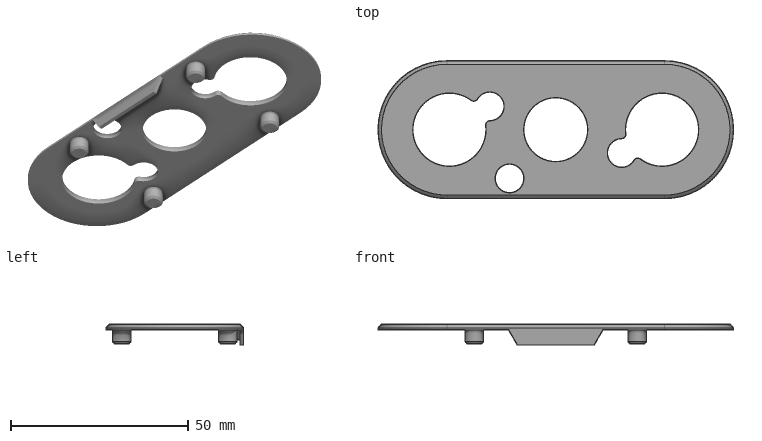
import cadquery as cq
import math

length = 100.4
width = 39.0
thickness = 1.6
edge_chamfer = 1.0

center_hole_diameter = 18.0
side_hole_diameter = 8.0
side_hole_x = -13.1
side_hole_y = -13.8
keyhole_diameter = 20.6
keyhole_x = 30.0
lobe_diameter = 8.0
lobe_distance = 13.2
lobe_angle = 30.0
neck_radius = 1.25

pin_diameter = 5.3
pin_x = 23.0
pin_y = 15.0
pin_length = 3.9
pin_chamfer = 0.6

total_height = 5.9
tab_height = total_height - thickness
tab_thickness = 1.1
tab_bottom_width = 21.7
tab_slope = 30.0

rib_length = 16.1
rib_depth = 0.9
rib_height = 2.8


def make_plate():
    plate = cq.Workplane("XY").slot2D(length, width).extrude(thickness)
    return plate.faces(">Z").edges().chamfer(edge_chamfer)


def cylinder(x, y, diameter):
    """Cutter through the plate thickness."""
    return cq.Workplane("XY").center(x, y).circle(diameter / 2).extrude(thickness)


def make_keyhole():
    """Left opening: a large circle and a small lobe joined by rounded necks."""
    angle = math.radians(lobe_angle)
    lobe_x = -keyhole_x + lobe_distance * math.cos(angle)
    lobe_y = lobe_distance * math.sin(angle)
    main = cylinder(-keyhole_x, 0, keyhole_diameter)
    opening = main.union(cylinder(lobe_x, lobe_y, lobe_diameter))

    main_radius = keyhole_diameter / 2
    lobe_radius = lobe_diameter / 2
    along = (lobe_distance**2 + main_radius**2 - lobe_radius**2) / (2 * lobe_distance)
    corner_angle = math.acos(along / main_radius)
    for turn in (angle - corner_angle, angle + corner_angle):
        corner = (
            -keyhole_x + main_radius * math.cos(turn),
            main_radius * math.sin(turn),
            thickness / 2,
        )
        neck_edge = cq.selectors.NearestToPointSelector(corner)
        opening = opening.edges("|Z").edges(neck_edge).fillet(neck_radius)
    return opening


def make_pins():
    pins = (
        cq.Workplane("XY")
        .rect(2 * pin_x, 2 * pin_y, forConstruction=True)
        .vertices()
        .circle(pin_diameter / 2)
        .extrude(-pin_length)
    )
    return pins.faces("<Z").edges().chamfer(pin_chamfer)


def make_tab():
    half_bottom = tab_bottom_width / 2
    half_top = half_bottom + tab_height * math.tan(math.radians(tab_slope))
    outline = [
        (-half_top, 0),
        (half_top, 0),
        (half_bottom, -tab_height),
        (-half_bottom, -tab_height),
    ]
    front_plane = cq.Workplane("XZ", origin=(0, -width / 2, 0))
    return front_plane.polyline(outline).close().extrude(-tab_thickness)


def make_rib():
    rib_front = -width / 2 + tab_thickness
    rib_base = cq.Workplane("XY", origin=(0, rib_front, -rib_height))
    return rib_base.box(rib_length, rib_depth, rib_height, centered=(True, False, False))


keyhole = make_keyhole()
opposite_keyhole = keyhole.rotate((0, 0, 0), (0, 0, 1), 180)

result = (
    make_plate()
    .cut(cylinder(0, 0, center_hole_diameter))
    .cut(cylinder(side_hole_x, side_hole_y, side_hole_diameter))
    .cut(keyhole)
    .cut(opposite_keyhole)
    .union(make_pins())
    .union(make_tab())
    .union(make_rib())
)